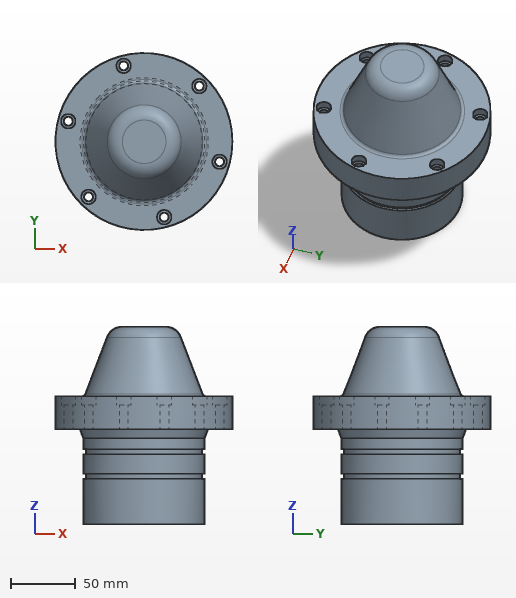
import cadquery as cq
import math

total_height = 152.4
flange_bottom = 73.2
flange_top = 98.8

flange_radius = 136.5 / 2
spigot_radius = 93.5 / 2
groove_radius = 89.6 / 2
collar_radius = 98.8 / 2

groove_width = 3.8
groove_bottoms = (35.0, 54.1)
collar_bottom = 66.3

nose_half_angle = math.radians(21.0)
tip_flat_radius = 33.5 / 2
tip_round = 12.5
root_outer_radius = 96.0 / 2
root_fillet = 3.0

hole_count = 6
hole_circle_radius = 60.4
hole_start_angle = 45.0
hole_diameter = 6.7
counterbore_diameter = 11.1
counterbore_depth = 6.7


def arc_point(center, radius, angle):
    """Point (radius, height) on a circle in the profile plane."""
    return (center[0] + radius * math.cos(angle), center[1] + radius * math.sin(angle))


def turned_body():
    """Revolve the half profile of spigot, flange and nose about Z."""
    tip_center = (tip_flat_radius, total_height - tip_round)
    root_center = (root_outer_radius, flange_top + root_fillet)
    root_end = math.pi + nose_half_angle
    root_middle = (root_end + 1.5 * math.pi) / 2
    tip_middle = (nose_half_angle + math.pi / 2) / 2

    profile = cq.Workplane("XZ").lineTo(spigot_radius, 0)
    for bottom in groove_bottoms:
        top = bottom + groove_width
        profile = (
            profile.lineTo(spigot_radius, bottom)
            .lineTo(groove_radius, bottom)
            .lineTo(groove_radius, top)
            .lineTo(spigot_radius, top)
        )
    profile = (
        profile.lineTo(spigot_radius, collar_bottom)
        .lineTo(collar_radius, flange_bottom)
        .lineTo(flange_radius, flange_bottom)
        .lineTo(flange_radius, flange_top)
        .lineTo(root_outer_radius, flange_top)
        .threePointArc(
            arc_point(root_center, root_fillet, root_middle),
            arc_point(root_center, root_fillet, root_end),
        )
        .lineTo(*arc_point(tip_center, tip_round, nose_half_angle))
        .threePointArc(
            arc_point(tip_center, tip_round, tip_middle),
            (tip_flat_radius, total_height),
        )
        .lineTo(0, total_height)
        .close()
    )
    return profile.revolve(360, (0, 0, 0), (0, 1, 0))


def drill_flange(body):
    """Cut the ring of counterbored screw holes down through the flange."""
    flange_thickness = flange_top - flange_bottom
    return (
        body.copyWorkplane(cq.Workplane("XY", origin=(0, 0, flange_top)))
        .polarArray(hole_circle_radius, hole_start_angle, 360, hole_count)
        .cboreHole(hole_diameter, counterbore_diameter, counterbore_depth, flange_thickness)
    )


result = drill_flange(turned_body())